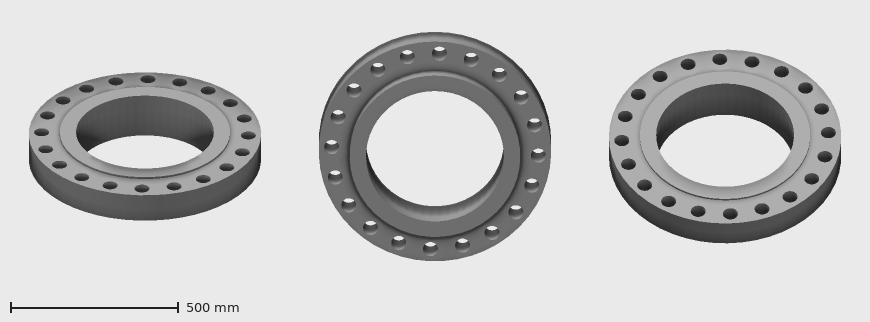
import cadquery as cq

flange_diameter = 692.15
flange_thickness = 88.9
raised_face_diameter = 508.0
raised_face_height = 6.35
hub_diameter = 508.0
hub_height = 44.45
bore_diameter = 410.5
bolt_circle_diameter = 615.95
bolt_hole_diameter = 44.45
bolt_hole_count = 20

total_height = hub_height + flange_thickness + raised_face_height
bolt_hole_spacing = 360.0 / bolt_hole_count
first_bolt_hole_angle = bolt_hole_spacing / 2


def disc(diameter, height, base_z):
    """Solid cylinder about the Z axis, standing on base_z."""
    return cq.Workplane("XY").workplane(offset=base_z).circle(diameter / 2).extrude(height)


def flange_blank():
    """Hub at the bottom, flange plate above it, raised face on top."""
    hub = disc(hub_diameter, hub_height, 0)
    plate = disc(flange_diameter, flange_thickness, hub_height)
    raised_face = disc(raised_face_diameter, raised_face_height, hub_height + flange_thickness)
    return hub.union(plate).union(raised_face)


def bolt_holes():
    """Ring of cylinders that cut the bolt holes through the plate."""
    return (
        cq.Workplane("XY")
        .workplane(offset=hub_height)
        .polarArray(bolt_circle_diameter / 2, first_bolt_hole_angle, 360, bolt_hole_count)
        .circle(bolt_hole_diameter / 2)
        .extrude(flange_thickness)
    )


bore = disc(bore_diameter, total_height, 0)

result = flange_blank().cut(bore).cut(bolt_holes())